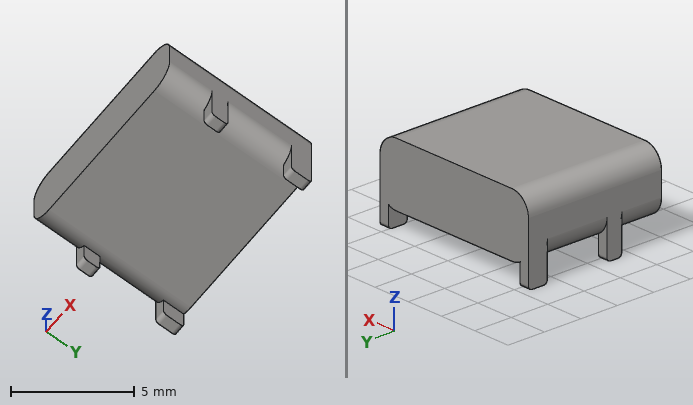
import cadquery as cq

width = 8.94
depth = 7.3
total_height = 4.2
shell_height = 3.22
corner_radius = 1.0

leg_thickness = 0.52
leg_tip_radius = 0.21
rear_leg_width = 1.04
front_leg_width = 0.81
front_leg_setback = 2.18

shell_bottom = total_height - shell_height
leg_top = shell_bottom + corner_radius


def make_shell():
    return (
        cq.Workplane("XY")
        .box(width, depth, shell_height, centered=(True, True, False))
        .translate((0, 0, shell_bottom))
        .edges("|Y")
        .fillet(corner_radius)
    )


def make_leg(side, y_start, leg_width):
    """One leg, flush with the outer side; side is -1 for left, +1 for right."""
    x_center = side * (width - leg_thickness) / 2
    return (
        cq.Workplane("XY")
        .box(leg_thickness, leg_width, leg_top)
        .faces("<Z").edges("|X")
        .fillet(leg_tip_radius)
        .translate((x_center, y_start + leg_width / 2, leg_top / 2))
    )


front_leg_start = -depth / 2 + front_leg_setback
rear_leg_start = depth / 2 - rear_leg_width

result = make_shell()
for side in (-1, 1):
    result = result.union(make_leg(side, front_leg_start, front_leg_width))
    result = result.union(make_leg(side, rear_leg_start, rear_leg_width))
result = result.clean()